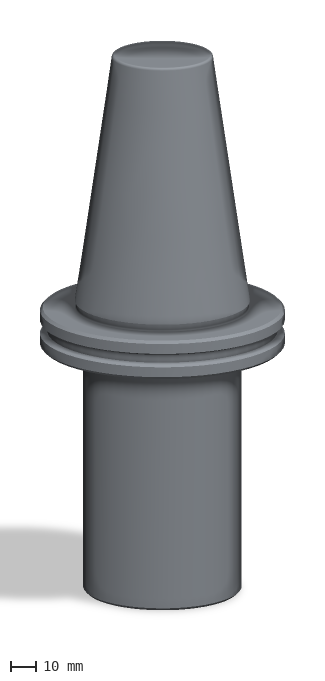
import cadquery as cq

total_height = 221.8

gauge_height = 119.7
gauge_radius = 69.9 / 2
taper_ratio = 7 / 24
tip_radius = gauge_radius - (total_height - gauge_height) * taper_ratio / 2
tip_rounding = 1.0

neck_radius = 34.4
neck_fillet = 0.7

flange_radius = 48.8
flange_top = 116.9
flange_bottom = 101.0
flange_chamfer = 1.0
groove_height = 108.9
groove_mouth_width = 5.5
groove_floor_width = 3.3
groove_depth = 2.9

shank_radius = 63.2 / 2
shank_chamfer = 1.0
shoulder_fillet = 1.8


def turned(outline):
    """Revolve a closed (radius, height) outline about the Z axis."""
    return outline.close().revolve(360, (0, 0, 0), (0, 1, 0))


def make_taper():
    outline = (
        cq.Workplane("XZ")
        .moveTo(0, gauge_height)
        .lineTo(gauge_radius, gauge_height)
        .lineTo(tip_radius, total_height)
        .lineTo(0, total_height)
    )
    return turned(outline).faces(">Z").edges().fillet(tip_rounding)


def make_neck():
    outline = (
        cq.Workplane("XZ")
        .moveTo(0, flange_top)
        .lineTo(neck_radius + neck_fillet, flange_top)
        .radiusArc((neck_radius, flange_top + neck_fillet), neck_fillet)
        .lineTo(neck_radius, gauge_height)
        .lineTo(0, gauge_height)
    )
    return turned(outline)


def make_flange():
    disc = (
        cq.Workplane("XY")
        .workplane(offset=flange_bottom)
        .circle(flange_radius)
        .extrude(flange_top - flange_bottom)
        .edges()
        .chamfer(flange_chamfer)
    )
    floor_radius = flange_radius - groove_depth
    groove = turned(
        cq.Workplane("XZ")
        .moveTo(flange_radius, groove_height - groove_mouth_width / 2)
        .lineTo(floor_radius, groove_height - groove_floor_width / 2)
        .lineTo(floor_radius, groove_height + groove_floor_width / 2)
        .lineTo(flange_radius, groove_height + groove_mouth_width / 2)
    )
    return disc.cut(groove)


def make_shank():
    outline = (
        cq.Workplane("XZ")
        .lineTo(shank_radius - shank_chamfer, 0)
        .lineTo(shank_radius, shank_chamfer)
        .lineTo(shank_radius, flange_bottom - shoulder_fillet)
        .radiusArc((shank_radius + shoulder_fillet, flange_bottom), shoulder_fillet)
        .lineTo(0, flange_bottom)
    )
    return turned(outline)


result = make_shank().union(make_flange()).union(make_neck()).union(make_taper())